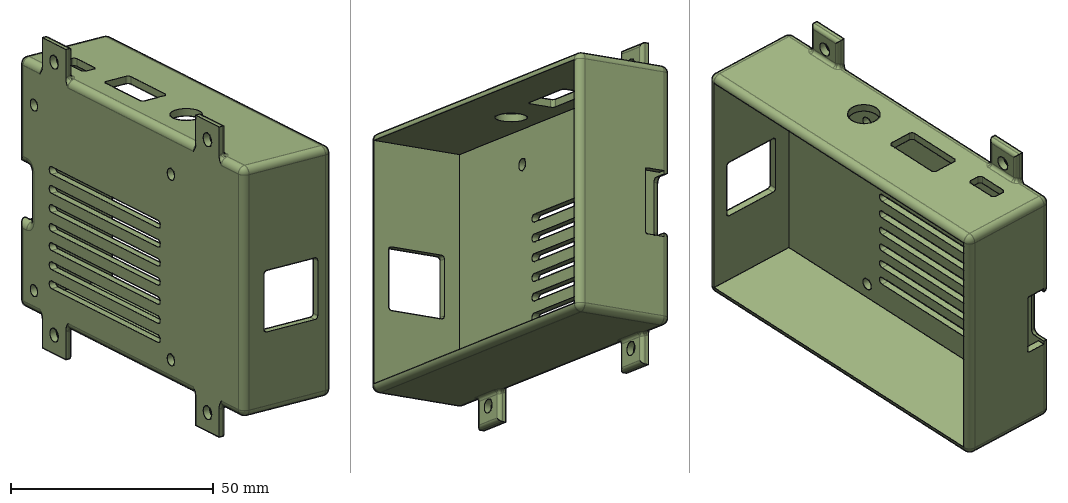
import cadquery as cq


length = 95.0
depth = 27.0
height = 66.0
wall = 2.0
edge_radius = 1.9
left = -length / 2
right = length / 2
top = height / 2

ear_reach = 8.0
ear_tip = top + ear_reach
ear_width = 10.0
ear_spacing = 65.0
ear_hole_diameter = 3.5
ear_hole_from_tip = 4.9
ear_edge_radius = wall / 2
ear_root_radius = 0.95
ear_block_rise = 2 * ear_root_radius

board_hole_diameter = 3.0
board_hole_span_x = 58.0
board_hole_span_z = 49.0
board_hole_from_left = 6.5
board_z = -2.5

vent_count = 7
vent_pitch = 5.0
vent_length = 47.0
vent_width = 2.0
vent_x = left + 36.5
vent_z = -8.0

notch_depth = 4.5
notch_width = 15.0
notch_corner_radius = 1.0
notch_flare = wall
card_window_width = 16.8
card_window_back = 7.3
card_window_radius = 0.5

port_front = 6.65
port_corner_radius = 0.9
power_x = left + 13.6
power_size = (9.0, 3.9)
video_x = left + 34.9
video_size = (16.2, 7.6)
audio_x = left + 56.5
audio_y = 10.4
audio_diameter = 8.0
data_front = 6.5
data_z = -3.5
data_size = 16.2

overshoot = 0.95
wall_cut = 2 * (wall + overshoot)
tolerance = 0.01


def span(middle, size):
    """(low, high) range of the given size about its middle."""
    return middle - size / 2, middle + size / 2


def block(x_range, y_range, z_range):
    """Box filling the given (low, high) ranges."""
    (x0, x1), (y0, y1), (z0, z1) = x_range, y_range, z_range
    return cq.Workplane("XY").box(x1 - x0, y1 - y0, z1 - z0, centered=False).translate((x0, y0, z0))


def through_front():
    """Workplane behind the front plate, facing -Y; extrude by wall_cut to pass through the plate."""
    return cq.Workplane("XZ", origin=(0, wall + overshoot, 0))


def upper_ear(body, x):
    """Ear above the box, with its root blended into the rounded edge of the body.

    The blend is made on a bar standing proud of the front face, so that it runs on smoothly
    past the edge; then all but the ear and its root is trimmed away.
    """
    bar = block(span(x, ear_width), (-ear_block_rise, wall), (0, ear_tip))
    bar = bar.faces(">Y").edges("not <Z").fillet(ear_edge_radius)
    root = cq.selectors.BoxSelector(
        (x - ear_width, -tolerance, -tolerance),
        (x + ear_width, depth / 2, top + tolerance),
        boundingbox=True,
    )
    blended = body.union(bar).edges(root).fillet(ear_root_radius)
    keep = block(
        span(x, 2 * ear_width),
        (0, wall + ear_root_radius),
        (top - edge_radius, ear_tip),
    )
    return blended.intersect(keep)


def outer_shape():
    """Rounded solid box with two ears above and two below."""
    box = block((left, right), (0, depth), (-top, top)).edges().fillet(edge_radius)
    body = box
    for x in span(0, ear_spacing):
        ear = upper_ear(box, x)
        body = body.union(ear).union(ear.mirror("XY"))
    return body


def cavity():
    """Inside of the box, open at the back."""
    return block(
        (left + wall, right - wall),
        (wall, depth + overshoot),
        (wall - top, top - wall),
    )


def front_holes():
    """Ear holes, board mounting holes and vent slots."""
    ear_hole_span = 2 * (ear_tip - ear_hole_from_tip)
    ears = through_front().rect(ear_spacing, ear_hole_span, forConstruction=True).vertices()
    holes = ears.circle(ear_hole_diameter / 2).extrude(wall_cut)

    board_x = left + board_hole_from_left + board_hole_span_x / 2
    board = through_front().center(board_x, board_z)
    board = board.rect(board_hole_span_x, board_hole_span_z, forConstruction=True).vertices()
    holes = holes.add(board.circle(board_hole_diameter / 2).extrude(wall_cut))

    vents = through_front().center(vent_x, vent_z).rarray(0.95, vent_pitch, 1, vent_count)
    holes = holes.add(vents.slot2D(vent_length, vent_width).extrude(wall_cut))
    return holes.combine()


def card_notch():
    """Cutter for the notch in the front plate, widening towards the front face.

    The notch is cut into a spare block and its front edge rounded; what has then been removed
    from the block is the cutter.
    """
    notch_end = left + notch_depth
    notch_z = span(board_z, notch_width)
    notch = block((left - 2 * overshoot, notch_end), (0, card_window_back), notch_z)
    notch = notch.edges("|Y and >X").fillet(notch_corner_radius)
    blank = block(
        (left - overshoot, notch_end + 2 * notch_flare),
        (0, card_window_back),
        span(board_z, notch_width + 4 * notch_flare),
    )
    rim = cq.selectors.BoxSelector(
        (left - 2 * overshoot, -tolerance, notch_z[0] - tolerance),
        (notch_end + tolerance, tolerance, notch_z[1] + tolerance),
        boundingbox=True,
    )
    remainder = blank.cut(notch).edges(rim).fillet(notch_flare)
    return blank.cut(remainder)


def card_window():
    """Cutter for the card opening in the left wall."""
    window = block(
        span(left, wall_cut),
        (wall, card_window_back),
        span(board_z, card_window_width),
    )
    return window.edges("|X and >Y").fillet(card_window_radius)


def top_ports():
    """Cutters for the power, video and audio openings in the top wall."""
    z_range = span(top, wall_cut)
    cutters = cq.Workplane("XY", origin=(audio_x, audio_y, z_range[0]))
    cutters = cutters.circle(audio_diameter / 2).extrude(wall_cut)
    for x, (width, port_depth) in ((power_x, power_size), (video_x, video_size)):
        port = block(span(x, width), (port_front, port_front + port_depth), z_range)
        cutters = cutters.union(port.edges("|Z").fillet(port_corner_radius))
    return cutters


def data_port():
    """Cutter for the square opening in the right wall."""
    port = block(
        span(right, wall_cut),
        (data_front, data_front + data_size),
        span(data_z, data_size),
    )
    return port.edges("|X").fillet(port_corner_radius)


result = (
    outer_shape()
    .cut(cavity())
    .cut(front_holes())
    .cut(card_notch())
    .cut(card_window())
    .cut(top_ports())
    .cut(data_port())
)